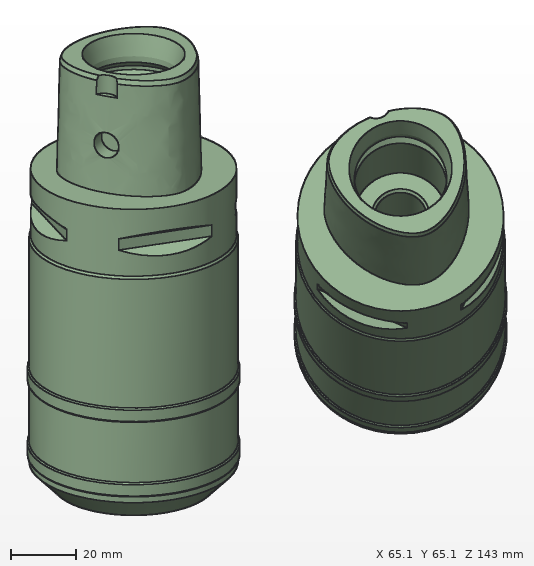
import cadquery as cq
import math

total_height = 143.0
shank_length = 38.0
shoulder_z = total_height - shank_length

body_radius = 32.0
flange_radius = 31.53
flange_bottom_z = 82.7
flange_bevel_height = 0.9
ring_radius = 32.53
ring_height = 4.3
ring_bottom_levels = (9.7, 34.6)
ring_bevel = ring_radius - body_radius
nose_radius = 25.0
nose_height = 7.3

lobe_count = 3
lobe_offset = 1.5
shank_base_radius = 22.2
shank_taper = 1 / 40
rim_bevel_height = 1.6
rim_bevel_inset = 0.6
lobe_curve_points = 36

mouth_radius = 15.7
mouth_depth = 6.9
middle_radius = 14.2
undercut_top_depth = 8.9
undercut_bottom_depth = 14.2
undercut_step = 2.0
middle_depth = shank_length
through_radius = 8.0
through_bevel = 0.9

keyway_radius = 4.3
keyway_depth = 6.1
keyway_center_y = -22.2
dimple_radius = 4.1
dimple_z = 120.7
dimple_floor_y = -14.6

notch_count = 4
notch_floor_distance = 27.6
notch_floor_height = 3.7
notch_mid_z = 93.1
notch_side_angle = 30.0
notch_outer_distance = 34.3


def turned_body():
    """Revolved outside shape with the sloped nose, two raised rings and the flange."""
    profile = [(0, 0), (nose_radius, 0), (body_radius, nose_height)]
    for bottom in ring_bottom_levels:
        top = bottom + ring_height
        profile += [
            (body_radius, bottom - ring_bevel),
            (ring_radius, bottom),
            (ring_radius, top - ring_bevel),
            (body_radius, top),
        ]
    profile += [
        (body_radius, flange_bottom_z - flange_bevel_height),
        (flange_radius, flange_bottom_z),
        (flange_radius, shoulder_z),
        (0, shoulder_z),
    ]
    return cq.Workplane("XZ").polyline(profile).close().revolve(360, (0, 0), (0, 1))


def lobed_wire(mean_radius, z):
    """Constant-width curve whose distance from the axis to its tangent varies three times per turn."""
    points = []
    for i in range(lobe_curve_points):
        turn = 2 * math.pi * i / lobe_curve_points
        support = mean_radius + lobe_offset * math.cos(lobe_count * turn)
        slope = -lobe_count * lobe_offset * math.sin(lobe_count * turn)
        x = -support * math.sin(turn) - slope * math.cos(turn)
        y = support * math.cos(turn) - slope * math.sin(turn)
        points.append(cq.Vector(x, y, z))
    return cq.Wire.assembleEdges([cq.Edge.makeSpline(points, periodic=True)])


def shank():
    """Tapered lobed shank with a bevelled top rim."""
    bevel_z = total_height - rim_bevel_height
    bevel_radius = shank_base_radius - shank_taper * (bevel_z - shoulder_z)
    base = lobed_wire(shank_base_radius, shoulder_z)
    bevel_start = lobed_wire(bevel_radius, bevel_z)
    top = lobed_wire(bevel_radius - rim_bevel_inset, total_height)
    taper = cq.Solid.makeLoft([base, bevel_start], True)
    rim = cq.Solid.makeLoft([bevel_start, top], True)
    return cq.Workplane(taper).union(cq.Workplane(rim))


def bore():
    """Stepped through bore with a conical mouth and an undercut below it."""
    undercut_radius = middle_radius + undercut_step
    middle_floor_z = total_height - middle_depth
    profile = [
        (0, 0),
        (through_radius, 0),
        (through_radius, middle_floor_z - through_bevel),
        (through_radius + through_bevel, middle_floor_z),
        (middle_radius, middle_floor_z),
        (middle_radius, total_height - undercut_bottom_depth),
        (undercut_radius, total_height - undercut_bottom_depth + undercut_step),
        (undercut_radius, total_height - undercut_top_depth - undercut_step),
        (middle_radius, total_height - undercut_top_depth),
        (middle_radius, total_height - mouth_depth),
        (mouth_radius, total_height),
        (0, total_height),
    ]
    return cq.Workplane("XZ").polyline(profile).close().revolve(360, (0, 0), (0, 1))


def keyway():
    """Round-bottomed vertical slot open at the top of the shank."""
    floor = cq.Workplane("XY", origin=(0, keyway_center_y, total_height - keyway_depth))
    return floor.circle(keyway_radius).extrude(keyway_depth)


def dimple():
    """Blind round hole with a flat floor."""
    floor = cq.Workplane("XZ", origin=(0, dimple_floor_y, dimple_z))
    return floor.circle(dimple_radius).extrude(shank_base_radius)


def notch(angle):
    """Flat-floored notch across the flange, with sides that flare outward."""
    depth = notch_outer_distance - notch_floor_distance
    inner_half = notch_floor_height / 2
    outer_half = inner_half + depth * math.tan(math.radians(notch_side_angle))
    section = [
        (notch_floor_distance, notch_mid_z - inner_half),
        (notch_outer_distance, notch_mid_z - outer_half),
        (notch_outer_distance, notch_mid_z + outer_half),
        (notch_floor_distance, notch_mid_z + inner_half),
    ]
    cutter = cq.Workplane("XZ").polyline(section).close().extrude(flange_radius, both=True)
    return cutter.rotate((0, 0, 0), (0, 0, 1), angle)


result = turned_body().union(shank()).cut(bore()).cut(keyway()).cut(dimple())
notch_step = 360 / notch_count
for index in range(notch_count):
    result = result.cut(notch(notch_step * (index + 0.5)))